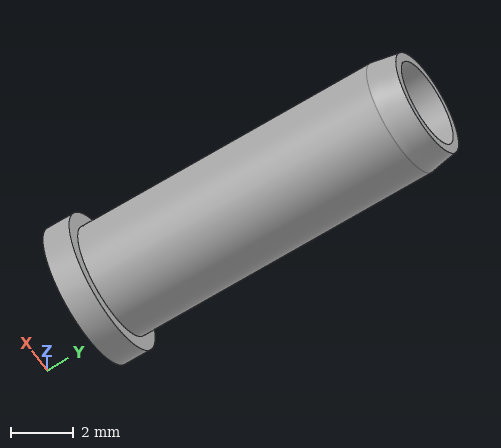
import cadquery as cq

total_length = 13.0
flange_diameter = 5.0
flange_thickness = 1.0
body_diameter = 4.0
bore_diameter = 3.0
tip_diameter = 3.65
taper_length = 1.0

flange_radius = flange_diameter / 2
body_radius = body_diameter / 2
bore_radius = bore_diameter / 2
tip_radius = tip_diameter / 2
taper_start = total_length - taper_length

half_section = (
    cq.Workplane("XY")
    .moveTo(bore_radius, 0)
    .lineTo(flange_radius, 0)
    .lineTo(flange_radius, flange_thickness)
    .lineTo(body_radius, flange_thickness)
    .lineTo(body_radius, taper_start)
    .lineTo(tip_radius, total_length)
    .lineTo(bore_radius, total_length)
    .close()
)

result = half_section.revolve(360, (0, 0, 0), (0, 1, 0))